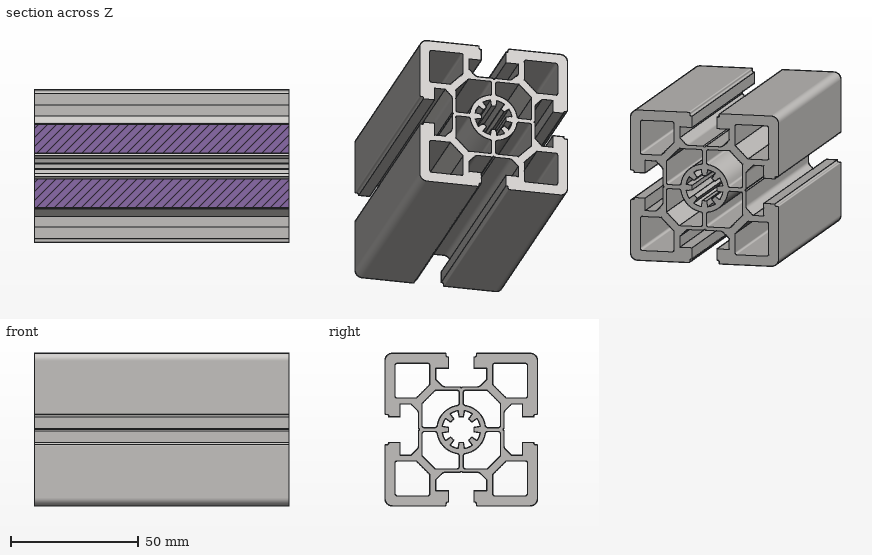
import cadquery as cq
import math


length = 100.0
width = 60.0
corner_radius = 3.0
half_length = length / 2
half_width = width / 2

mouth_half = 5.0
mouth_step_half = 5.9
mouth_step_depth = 1.5
mouth_step_radius = 0.6
mouth_edge_radius = 0.5
lip_thickness = 6.0
chamber_half = 10.0
slot_floor = 16.8
floor_bevel = 2.9
floor_blend_radius = 2.0
mark_depth = 0.4
mark_half = 0.5

hollow_outer = 26.0
hollow_inner = 12.4
hollow_bevel = 5.2
hollow_radius = 0.8
hollow_outer_radius = 1.0

rib_half = 0.8
cell_outer = 15.4
cell_bevel = 5.2
cell_radius = 0.9

hub_radius = 9.6
bore_radius = 7.5
tooth_count = 8
tooth_tip_distance = 5.0
tooth_tip_half = 0.9
tooth_root_half = 1.3

selection_reach = 0.05


def section_plane():
    """YZ sketch plane at the -X end of the part."""
    return cq.Workplane("YZ", origin=(-half_length, 0, 0))


def extrude_outline(outline):
    """Extrude a closed YZ outline over the full length of the part."""
    return outline.extrude(length)


def around(point_y, point_z):
    """Select the lengthwise edge passing through one point of the section."""
    return cq.selectors.BoxSelector(
        (-length, point_y - selection_reach, point_z - selection_reach),
        (length, point_y + selection_reach, point_z + selection_reach),
    )


def turned(shape, angle):
    """Rotate a shape about the long axis of the part."""
    return shape.rotate((0, 0, 0), (1, 0, 0), angle)


def make_body():
    """Square bar with rounded long edges."""
    body = extrude_outline(section_plane().rect(width, width))
    return body.edges("|X").fillet(corner_radius)


def make_slot():
    """Slot opening toward +Z, with a stepped mouth and a bevelled chamber."""
    step_floor = half_width - mouth_step_depth
    chamber_top = half_width - lip_thickness
    floor_half = chamber_half - floor_bevel
    right_side = [
        (mark_half, slot_floor),
        (floor_half, slot_floor),
        (chamber_half, slot_floor + floor_bevel),
        (chamber_half, chamber_top),
        (mouth_half, chamber_top),
        (mouth_half, step_floor),
        (mouth_step_half, step_floor),
        (mouth_step_half, half_width),
    ]
    left_side = [(-y, z) for y, z in reversed(right_side)]
    mark_bottom = (0, slot_floor - mark_depth)
    outline = section_plane().polyline([mark_bottom] + right_side + left_side)
    slot = extrude_outline(outline.close())
    for side in (-1, 1):
        slot = slot.edges(around(side * mouth_step_half, step_floor)).fillet(mouth_step_radius)
        slot = slot.edges(around(side * floor_half, slot_floor)).fillet(floor_blend_radius)
    return slot


def make_corner_hollow():
    """Square hollow in the +Y +Z corner, bevelled on the side facing the axis."""
    bevel_end = hollow_inner + hollow_bevel
    outline = section_plane().polyline([
        (bevel_end, hollow_inner),
        (hollow_outer, hollow_inner),
        (hollow_outer, hollow_outer),
        (hollow_inner, hollow_outer),
        (hollow_inner, bevel_end),
    ])
    hollow = extrude_outline(outline.close())
    hollow = hollow.edges(around(hollow_outer, hollow_outer)).fillet(hollow_outer_radius)
    for y, z in ((hollow_outer, hollow_inner), (hollow_inner, hollow_outer)):
        hollow = hollow.edges(around(y, z)).fillet(hollow_radius)
    return hollow


def make_cell():
    """Cell between two ribs, the bevelled wall and the round hub."""
    bevel_start = cell_outer - cell_bevel
    hub_end = math.sqrt(hub_radius**2 - rib_half**2)
    hub_middle = hub_radius * math.sqrt(0.5)
    outline = (
        section_plane()
        .moveTo(hub_end, rib_half)
        .lineTo(cell_outer, rib_half)
        .lineTo(cell_outer, bevel_start)
        .lineTo(bevel_start, cell_outer)
        .lineTo(rib_half, cell_outer)
        .lineTo(rib_half, hub_end)
        .threePointArc((hub_middle, hub_middle), (hub_end, rib_half))
    )
    cell = extrude_outline(outline.close())
    for along_rib in (hub_end, cell_outer):
        cell = cell.edges(around(along_rib, rib_half)).fillet(cell_radius)
        cell = cell.edges(around(rib_half, along_rib)).fillet(cell_radius)
    return cell


def make_bore():
    """Round bore with inward teeth that widen toward the bore wall."""
    tooth_outline = section_plane().polyline([
        (-tooth_root_half, bore_radius),
        (-tooth_tip_half, tooth_tip_distance),
        (tooth_tip_half, tooth_tip_distance),
        (tooth_root_half, bore_radius),
    ])
    tooth = extrude_outline(tooth_outline.close())
    bore = extrude_outline(section_plane().circle(bore_radius))
    for index in range(tooth_count):
        bore = bore.cut(turned(tooth, index * 360 / tooth_count))
    return bore


def round_mouth_edges(profile):
    """Round the outer edges of all four slot mouths."""
    for side in (-1, 1):
        for face in (-1, 1):
            y, z = side * mouth_step_half, face * half_width
            profile = profile.edges(around(y, z)).fillet(mouth_edge_radius)
            profile = profile.edges(around(z, y)).fillet(mouth_edge_radius)
    return profile


result = make_body().cut(make_bore())
for cutter in (make_slot(), make_corner_hollow(), make_cell()):
    for quarter in range(4):
        result = result.cut(turned(cutter, quarter * 90))
result = round_mouth_edges(result)